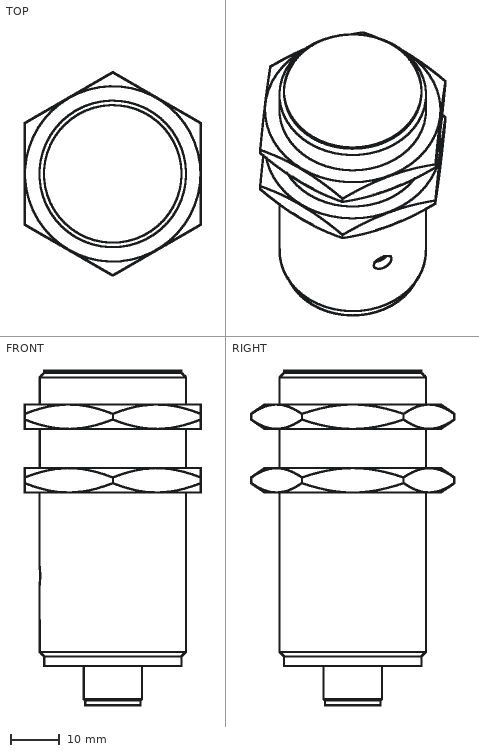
import cadquery as cq
import math

total_height = 68.5
barrel_diameter = 30.0
end_diameter = 28.15
cap_height = 0.5
base_bottom = 8.0
base_height = 2.0
connector_diameter = 12.0
connector_tip_diameter = 11.4
connector_tip_height = 1.0

recess_diameter = 4.0
recess_depth = 1.9
recess_height = 26.5
lamp_diameter = 2.0

nut_across_flats = 36.0
nut_thickness = 5.1
nut_face_diameter = 35.9
nut_corner_height = 1.15
upper_nut_bottom = 56.5
nut_pitch = 13.0
nut_count = 2

barrel_radius = barrel_diameter / 2
end_radius = end_diameter / 2
connector_radius = connector_diameter / 2
connector_tip_radius = connector_tip_diameter / 2
nut_across_corners = nut_across_flats / math.cos(math.pi / 6)


def make_housing_blank():
    """Revolved housing with 45 degree shoulders between its diameters."""
    tip_shoulder_top = connector_tip_height + connector_radius - connector_tip_radius
    barrel_chamfer_bottom = base_bottom + base_height
    barrel_bottom = barrel_chamfer_bottom + barrel_radius - end_radius
    cap_bottom = total_height - cap_height
    barrel_top = cap_bottom - (barrel_radius - end_radius)
    profile = [
        (0, 0),
        (connector_tip_radius, 0),
        (connector_tip_radius, connector_tip_height),
        (connector_radius, tip_shoulder_top),
        (connector_radius, base_bottom),
        (end_radius, base_bottom),
        (end_radius, barrel_chamfer_bottom),
        (barrel_radius, barrel_bottom),
        (barrel_radius, barrel_top),
        (end_radius, cap_bottom),
        (end_radius, total_height),
        (0, total_height),
    ]
    return cq.Workplane("XZ").polyline(profile).close().revolve(360, (0, 0, 0), (0, 1, 0))


def make_housing():
    """Housing with the indicator recess and its lamp dome."""
    floor_x = recess_depth - barrel_radius
    recess = (
        cq.Workplane("YZ", origin=(floor_x, 0, recess_height))
        .circle(recess_diameter / 2)
        .extrude(-barrel_radius)
    )
    lamp = cq.Workplane("XY").sphere(lamp_diameter / 2).translate((floor_x, 0, recess_height))
    return make_housing_blank().cut(recess).union(lamp)


def make_nut(bottom):
    """Hexagonal nut, corners toward +Y and -Y, coned at both faces and bored for the barrel."""
    face_radius = nut_face_diameter / 2
    corner_radius = nut_across_corners / 2
    cone_height = (nut_thickness - nut_corner_height) / 2
    hexagon = (
        cq.Workplane("XY")
        .polygon(6, nut_across_corners)
        .extrude(nut_thickness)
        .rotate((0, 0, 0), (0, 0, 1), 90)
    )
    envelope_profile = [
        (0, 0),
        (face_radius, 0),
        (corner_radius, cone_height),
        (corner_radius, nut_thickness - cone_height),
        (face_radius, nut_thickness),
        (0, nut_thickness),
    ]
    envelope = cq.Workplane("XZ").polyline(envelope_profile).close().revolve(360, (0, 0, 0), (0, 1, 0))
    bore = cq.Workplane("XY").circle(barrel_radius).extrude(nut_thickness)
    return hexagon.intersect(envelope).cut(bore).translate((0, 0, bottom))


housing = make_housing()
nuts = [make_nut(upper_nut_bottom - index * nut_pitch) for index in range(nut_count)]

result = cq.Compound.makeCompound([housing.val(), *[nut.val() for nut in nuts]])